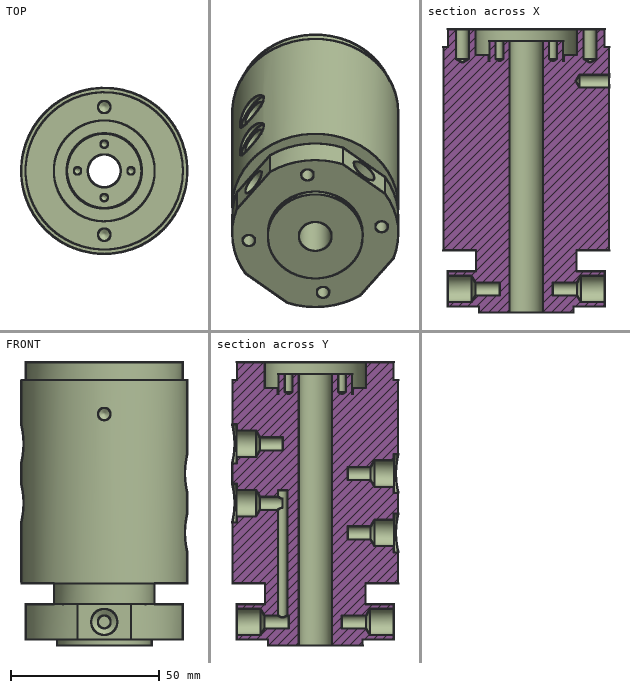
import cadquery as cq
import math

FOOT_DIAMETER = 32.0
FOOT_HEIGHT = 2.0
FLANGE_DIAMETER = 56.0
FLANGE_HEIGHT = 12.0
FLANGE_ACROSS_FLATS = 53.0
NECK_DIAMETER = 34.0
NECK_HEIGHT = 7.0
BODY_DIAMETER = 56.0
BODY_HEIGHT = 68.5
RIM_DIAMETER = 53.0
RIM_HEIGHT = 6.0

FLANGE_BOTTOM_Z = FOOT_HEIGHT
FLANGE_TOP_Z = FLANGE_BOTTOM_Z + FLANGE_HEIGHT
BODY_BOTTOM_Z = FLANGE_TOP_Z + NECK_HEIGHT
BODY_TOP_Z = BODY_BOTTOM_Z + BODY_HEIGHT
TOP_Z = BODY_TOP_Z + RIM_HEIGHT

RECESS_DIAMETER = 34.0
RECESS_DEPTH = 8.7
SHAFT_DIAMETER = 25.0
SHAFT_TOP_BELOW_RIM = 4.0
SHAFT_CLEARANCE_DIAMETER = 25.4
SHAFT_CLEARANCE_DEPTH = 2.0
BORE_DIAMETER = 11.0

DRILL_POINT_ANGLE = 118.0
TAPPED_DIAMETER = 4.2
TAPPED_DEPTH = 10.0
RIM_HOLE_RADIUS = 21.5
SET_SCREW_Z = 78.0
SHAFT_HOLE_DIAMETER = 2.5
SHAFT_HOLE_DEPTH = 6.0
SHAFT_HOLE_RADIUS = 9.0
FLANGE_HOLE_RADIUS = 22.5

PORT_DIAMETER = 8.8
PORT_DEPTH = 8.0
PORT_BORE_DIAMETER = 4.3
SPOTFACE_DIAMETER = 13.0
SPOTFACE_DEPTH = 1.5
PORT_PITCH = 20.0
LEFT_PORTS_LOWER_Z = 48.0
RIGHT_PORTS_LOWER_Z = LEFT_PORTS_LOWER_Z - PORT_PITCH / 2
FLANGE_PORT_Z = FLANGE_BOTTOM_Z + FLANGE_HEIGHT / 2
FLANGE_BORE_END_RADIUS = 9.0

CHANNEL_DIAMETER = 3.0
CHANNEL_RADIUS = 11.0
CHANNEL_TOP_Z = LEFT_PORTS_LOWER_Z + PORT_BORE_DIAMETER

PLUS_X = 0
PLUS_Y = 90
MINUS_X = 180
MINUS_Y = 270
QUARTER_TURNS = (PLUS_X, PLUS_Y, MINUS_X, MINUS_Y)
FLANGE_HOLE_OFFSET = 45


def disc(diameter, bottom_z, height):
    return cq.Workplane("XY", origin=(0, 0, bottom_z)).circle(diameter / 2).extrude(height)


def cone_length(wide_diameter, narrow_diameter=0.0):
    """Length of a drill-point cone narrowing between two diameters."""
    return (wide_diameter - narrow_diameter) / 2 / math.tan(math.radians(DRILL_POINT_ANGLE / 2))


def revolved_cutter(profile):
    """Tool about +Z from (radius, height) points that start and end on the axis."""
    return cq.Workplane("XZ").polyline(profile).close().revolve(360, (0, 0, 0), (0, 1, 0))


def pointed_hole(diameter, depth):
    """Blind hole cutter with its mouth at the origin, running down -Z to a drill point."""
    radius = diameter / 2
    tip_z = -depth - cone_length(diameter)
    return revolved_cutter([(0, 0), (radius, 0), (radius, -depth), (0, tip_z)])


def port_cutter(bore_length):
    """Threaded port narrowing by a cone to a flat-ended bore, bore_length deep in all."""
    port_radius = PORT_DIAMETER / 2
    bore_radius = PORT_BORE_DIAMETER / 2
    cone_end_z = -PORT_DEPTH - cone_length(PORT_DIAMETER, PORT_BORE_DIAMETER)
    return revolved_cutter([
        (0, 0),
        (port_radius, 0),
        (port_radius, -PORT_DEPTH),
        (bore_radius, cone_end_z),
        (bore_radius, -bore_length),
        (0, -bore_length),
    ])


def aim_inward(cutter, direction, radius, z):
    """Turn a -Z cutter to point at the axis, its mouth at the given radius and height."""
    on_plus_x = cutter.rotate((0, 0, 0), (0, 1, 0), 90).translate((radius, 0, z))
    return on_plus_x.rotate((0, 0, 0), (0, 0, 1), direction)


def polar_point(radius, direction, z):
    angle = math.radians(direction)
    return (radius * math.cos(angle), radius * math.sin(angle), z)


def make_flange():
    flange = disc(FLANGE_DIAMETER, FLANGE_BOTTOM_Z, FLANGE_HEIGHT)
    square = cq.Workplane("XY", origin=(0, 0, FLANGE_BOTTOM_Z)).rect(
        FLANGE_ACROSS_FLATS, FLANGE_ACROSS_FLATS
    ).extrude(FLANGE_HEIGHT)
    return flange.intersect(square)


def make_stack():
    stack = disc(FOOT_DIAMETER, 0, FOOT_HEIGHT)
    stack = stack.union(make_flange())
    stack = stack.union(disc(NECK_DIAMETER, FLANGE_TOP_Z, NECK_HEIGHT))
    stack = stack.union(disc(BODY_DIAMETER, BODY_BOTTOM_Z, BODY_HEIGHT))
    return stack.union(disc(RIM_DIAMETER, BODY_TOP_Z, RIM_HEIGHT))


def cut_recess_and_bore(part):
    """Recess around the shaft end, a narrow running gap below its floor, and the through bore."""
    clearance_depth = RECESS_DEPTH + SHAFT_CLEARANCE_DEPTH
    recess = disc(RECESS_DIAMETER, TOP_Z - RECESS_DEPTH, RECESS_DEPTH)
    recess = recess.union(disc(SHAFT_CLEARANCE_DIAMETER, TOP_Z - clearance_depth, clearance_depth))
    shaft_end = disc(SHAFT_DIAMETER, TOP_Z - clearance_depth, clearance_depth - SHAFT_TOP_BELOW_RIM)
    part = part.cut(recess.cut(shaft_end))
    return part.cut(disc(BORE_DIAMETER, 0, TOP_Z))


def cut_screw_holes(part):
    tapped_hole = pointed_hole(TAPPED_DIAMETER, TAPPED_DEPTH)
    for direction in (PLUS_Y, MINUS_Y):
        part = part.cut(tapped_hole.translate(polar_point(RIM_HOLE_RADIUS, direction, TOP_Z)))
    part = part.cut(aim_inward(tapped_hole, MINUS_Y, BODY_DIAMETER / 2, SET_SCREW_Z))

    shaft_hole = pointed_hole(SHAFT_HOLE_DIAMETER, SHAFT_HOLE_DEPTH)
    flange_hole = disc(TAPPED_DIAMETER, 0, FLANGE_HEIGHT)
    for direction in QUARTER_TURNS:
        shaft_hole_place = polar_point(SHAFT_HOLE_RADIUS, direction, TOP_Z - SHAFT_TOP_BELOW_RIM)
        flange_hole_place = polar_point(FLANGE_HOLE_RADIUS, direction + FLANGE_HOLE_OFFSET, FLANGE_BOTTOM_Z)
        part = part.cut(shaft_hole.translate(shaft_hole_place))
        part = part.cut(flange_hole.translate(flange_hole_place))
    return part


def cut_body_ports(part):
    body_radius = BODY_DIAMETER / 2
    port = port_cutter(body_radius - CHANNEL_RADIUS)
    port = port.union(disc(SPOTFACE_DIAMETER, -SPOTFACE_DEPTH, SPOTFACE_DEPTH))
    for direction, lower_z in ((MINUS_X, LEFT_PORTS_LOWER_Z), (PLUS_X, RIGHT_PORTS_LOWER_Z)):
        for z in (lower_z, lower_z + PORT_PITCH):
            part = part.cut(aim_inward(port, direction, body_radius, z))
    return part


def cut_flange_ports(part):
    flat_radius = FLANGE_ACROSS_FLATS / 2
    port = port_cutter(flat_radius - FLANGE_BORE_END_RADIUS)
    for direction in QUARTER_TURNS:
        part = part.cut(aim_inward(port, direction, flat_radius, FLANGE_PORT_Z))
    return part


def cut_channel(part):
    channel = disc(CHANNEL_DIAMETER, FLANGE_PORT_Z, CHANNEL_TOP_Z - FLANGE_PORT_Z)
    return part.cut(channel.translate(polar_point(CHANNEL_RADIUS, MINUS_X, 0)))


result = make_stack()
result = cut_recess_and_bore(result)
result = cut_screw_holes(result)
result = cut_body_ports(result)
result = cut_flange_ports(result)
result = cut_channel(result)